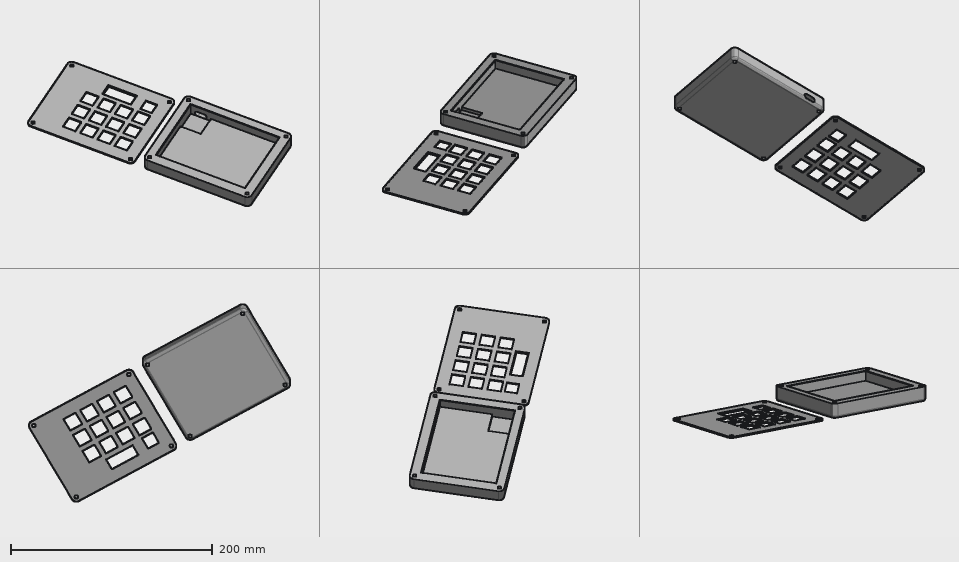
import cadquery as cq
total_length = 248.6
body_length = 118.5
body_width = 95.7
corner_radius = 5.0

screw_diameter = 3.5
screw_inset = 5.0

plate_thickness = 1.5
plate_base_z = 0.5
plate_x = (body_length - total_length) / 2

key_size = 13.7
key_pitch = 19.1
key_columns = 4
key_rows = 3
key_grid_x = 10.2
key_grid_y = -8.2

knob_length = 12.5
knob_width = 12.5
knob_x = key_grid_x + key_pitch * (key_columns - 1) / 2
knob_y = 27.8

window_length = 30.0
window_width = 11.5
window_bevel = 1.0
window_x = 6.0
window_y = 29.0

tray_height = 15.5
tray_x = (total_length - body_length) / 2
bottom_fillet = 3.0

cavity_length = 98.5
cavity_width = 75.5
cavity_x = -0.5
cavity_y = 0.7
cavity_floor_z = 5.2
rim_bevel = 0.5
cavity_left = cavity_x - cavity_length / 2
cavity_back = cavity_y + cavity_width / 2

recess_size = 22.6
recess_floor_z = 1.7

cable_slot_length = 13.2
cable_slot_height = 6.0
cable_slot_z = 5.0


def rounded_block(height):
    """Block with the shared outline, standing on the XY plane."""
    block = cq.Workplane("XY").rect(body_length, body_width).extrude(height)
    return block.edges("|Z").fillet(corner_radius)


def screw_holes(height):
    """Cutters for the four corner screw holes."""
    return (
        cq.Workplane("XY")
        .rect(body_length - 2 * screw_inset, body_width - 2 * screw_inset, forConstruction=True)
        .vertices()
        .circle(screw_diameter / 2)
        .extrude(height)
    )


def key_openings():
    return (
        cq.Workplane("XY")
        .center(key_grid_x, key_grid_y)
        .rarray(key_pitch, key_pitch, key_columns, key_rows)
        .rect(key_size, key_size)
        .extrude(plate_thickness)
    )


def knob_opening():
    return cq.Workplane("XY").center(knob_x, knob_y).rect(knob_length, knob_width).extrude(plate_thickness)


def bevelled_opening(length, width, depth, bevel):
    """Cutter with its top on the XY plane: a rectangular opening that flares by the bevel at the top."""
    opening = cq.Workplane("XY").rect(length, width).extrude(-depth)
    flare = (
        cq.Workplane("XY")
        .workplane(offset=-bevel)
        .rect(length, width)
        .workplane(offset=bevel)
        .rect(length + 2 * bevel, width + 2 * bevel)
        .loft(ruled=True)
    )
    return opening.union(flare)


def screen_window():
    window = bevelled_opening(window_length, window_width, plate_thickness, window_bevel)
    return window.translate((window_x, window_y, plate_thickness))


def make_plate():
    plate = rounded_block(plate_thickness).cut(screw_holes(plate_thickness))
    plate = plate.cut(key_openings()).cut(knob_opening()).cut(screen_window())
    return plate.translate((plate_x, 0, plate_base_z))


def cavity():
    opening = bevelled_opening(cavity_length, cavity_width, tray_height - cavity_floor_z, rim_bevel)
    return opening.translate((cavity_x, cavity_y, tray_height))


def recess():
    return (
        cq.Workplane("XY", origin=(cavity_left, cavity_back, recess_floor_z))
        .rect(recess_size, -recess_size, centered=False)
        .extrude(cavity_floor_z - recess_floor_z)
    )


def cable_slot():
    outer_face = body_width / 2
    return (
        cq.Workplane("XZ", origin=(cavity_left + recess_size / 2, outer_face, cable_slot_z))
        .slot2D(cable_slot_length, cable_slot_height)
        .extrude(outer_face - cavity_back)
    )


def make_tray():
    tray = rounded_block(tray_height).faces("<Z").edges().fillet(bottom_fillet)
    tray = tray.cut(screw_holes(tray_height)).cut(cavity())
    tray = tray.cut(recess()).cut(cable_slot())
    return tray.translate((tray_x, 0, 0))


plate = make_plate()
tray = make_tray()

result = cq.Compound.makeCompound([plate.val(), tray.val()])